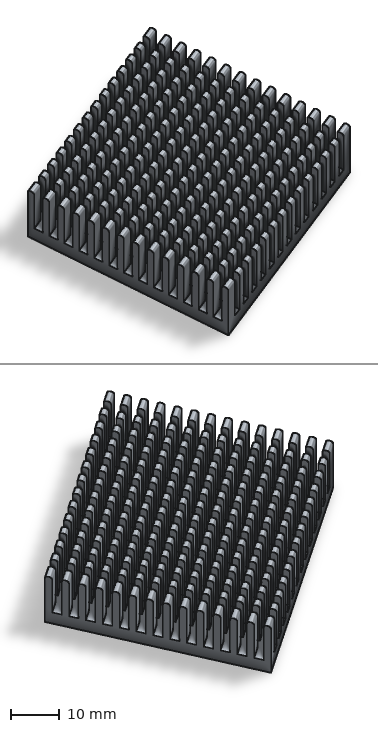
import cadquery as cq

width = 48.26
depth = 48.3
height = 16.51
base_thickness = 4.0

fin_count = 14
fin_thickness = 1.59
fin_pitch = (width - fin_thickness) / (fin_count - 1)
tip_radius = fin_thickness / 2

cut_count = 13
cut_pitch = 3.44
cut_width = 1.8


def centred_positions(count, pitch):
    """Evenly spaced positions, symmetric about zero."""
    return [(i - (count - 1) / 2) * pitch for i in range(count)]


def make_base():
    return cq.Workplane("XY").box(width, depth, base_thickness, centered=(True, True, False))


def make_fin(x):
    """Full-depth fin with a fully rounded tip, rooted at the bottom of the base."""
    left = x - fin_thickness / 2
    right = x + fin_thickness / 2
    shoulder = height - tip_radius
    return (
        cq.Workplane("XZ", origin=(0, depth / 2, 0))
        .moveTo(left, 0)
        .lineTo(right, 0)
        .lineTo(right, shoulder)
        .threePointArc((x, height), (left, shoulder))
        .close()
        .extrude(depth)
    )


def make_cross_cuts():
    """Slots across the full width, reaching down to the top of the base."""
    slot_depth = height - base_thickness
    return (
        cq.Workplane("XY", origin=(0, 0, base_thickness))
        .pushPoints([(0, y) for y in centred_positions(cut_count, cut_pitch)])
        .box(width, cut_width, slot_depth, centered=(True, True, False))
    )


body = make_base()
for fin_x in centred_positions(fin_count, fin_pitch):
    body = body.union(make_fin(fin_x))

result = body.cut(make_cross_cuts())